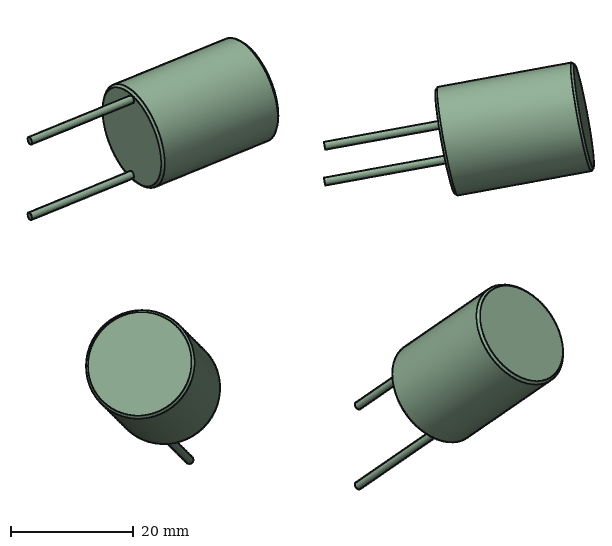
import cadquery as cq

total_length = 43.0
body_length = 23.0
body_diameter = 18.0
edge_chamfer = 0.45

lead_diameter = 1.35
lead_spacing = 15.5
lead_length = total_length - body_length


def make_body():
    """Cylinder from the lead face at Y = 0 back to +Y, with both rims chamfered."""
    cylinder = cq.Workplane("XZ").circle(body_diameter / 2).extrude(-body_length)
    return cylinder.edges("%CIRCLE").chamfer(edge_chamfer)


def make_leads():
    """Two straight round leads, one above the other, reaching toward -Y."""
    return (
        cq.Workplane("XZ")
        .pushPoints([(0, lead_spacing / 2), (0, -lead_spacing / 2)])
        .circle(lead_diameter / 2)
        .extrude(lead_length)
    )


result = make_body().union(make_leads())